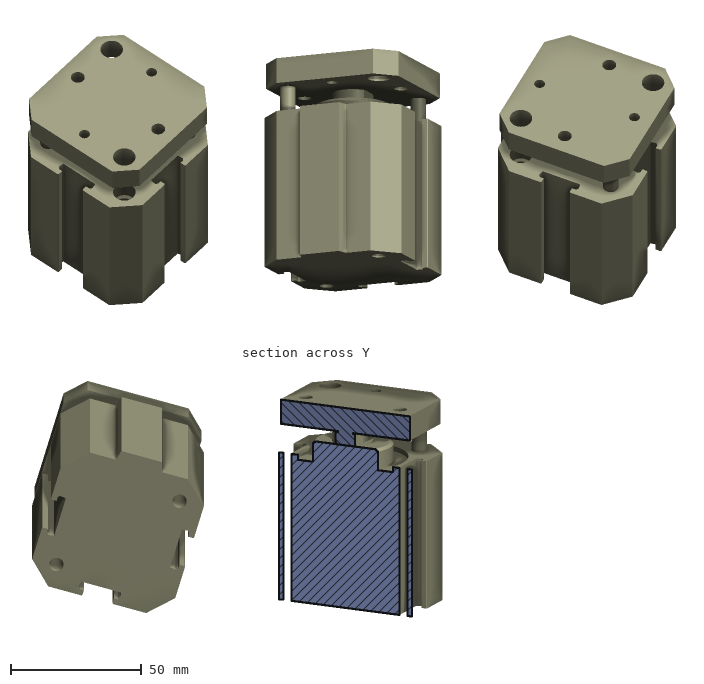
import cadquery as cq

total_height = 79.5
housing_height = 58.5
plate_thickness = 9.8
plate_bottom = total_height - plate_thickness

housing_width = 57.0
housing_half = housing_width / 2
housing_corner = 9.0

slot_mouth_half = 6.0
slot_edge_chamfer = 0.3
slot_lip = 2.3
slot_depth = 5.4
slot_inner_half = 8.35
slot_floor_half = 7.95
slot_inner_chamfer = 0.8

rail_height = 4.0
rail_top_half = 8.1
rail_foot_height = 0.8
rail_neck_half = 9.0
rail_foot_half = 9.4

recess_diameter = 42.5
recess_depth = 2.0
collar_diameter = 31.0
collar_height = 6.2
collar_chamfer = 1.0
collar_top = housing_height + collar_height

corner_offset = 19.0
mount_positions = [(-corner_offset, corner_offset), (corner_offset, -corner_offset)]
guide_positions = [(-corner_offset, -corner_offset), (corner_offset, corner_offset)]
mount_bore_diameter = 5.5
mount_counterbore_diameter = 8.6
mount_counterbore_depth = 7.0
guide_diameter = 6.0

rod_diameter = 16.0
rod_chamfer = 0.5
rod_flat_width = 13.0
rod_shoulder = 0.95

plate_width = 55.0
plate_corner = 7.4
plate_hole_offset = 20.0
plate_x_hole_diameter = 5.3
plate_y_hole_diameter = 4.1
plate_access_diameter = 8.6


def cylinder(diameter, bottom, top):
    return cq.Workplane("XY").workplane(offset=bottom).circle(diameter / 2).extrude(top - bottom)


def octagonal_block(width, corner, bottom, top):
    block = cq.Workplane("XY").workplane(offset=bottom).rect(width, width).extrude(top - bottom)
    return block.edges("|Z").chamfer(corner)


def make_slot_cutter():
    """T-slot prism on the -Y side, running the full height of the housing."""
    lip_inside = housing_half - slot_lip
    right_side = [
        (slot_mouth_half + slot_edge_chamfer, -housing_half),
        (slot_mouth_half, -housing_half + slot_edge_chamfer),
        (slot_mouth_half, -lip_inside),
        (slot_inner_half - slot_inner_chamfer, -lip_inside),
        (slot_inner_half, -lip_inside + slot_inner_chamfer),
        (slot_floor_half, -housing_half + slot_depth),
    ]
    left_side = [(-x, y) for x, y in reversed(right_side)]
    return cq.Workplane("XY").polyline(right_side + left_side).close().extrude(housing_height)


def make_rail():
    """Tapered rail on the +Y side with a flared foot."""
    right_side = [
        (rail_foot_half, housing_half),
        (rail_neck_half, housing_half + rail_foot_height),
        (rail_top_half, housing_half + rail_height),
    ]
    left_side = [(-x, y) for x, y in reversed(right_side)]
    return cq.Workplane("XY").polyline(right_side + left_side).close().extrude(housing_height)


def make_housing():
    body = octagonal_block(housing_width, housing_corner, 0, housing_height)
    body = body.union(make_rail())

    slot_cutter = make_slot_cutter()
    for angle in (-90, 0, 90):
        body = body.cut(slot_cutter.rotate((0, 0, 0), (0, 0, 1), angle))

    recess_floor = housing_height - recess_depth
    body = body.cut(cylinder(recess_diameter, recess_floor, housing_height))
    collar = cylinder(collar_diameter, recess_floor, collar_top)
    body = body.union(collar.faces(">Z").edges().chamfer(collar_chamfer))

    counterbore_floor = housing_height - mount_counterbore_depth
    for x, y in mount_positions:
        body = body.cut(cylinder(mount_bore_diameter, 0, housing_height).translate((x, y, 0)))
        counterbore = cylinder(mount_counterbore_diameter, counterbore_floor, housing_height)
        body = body.cut(counterbore.translate((x, y, 0)))
    return body


def make_rod():
    """Piston rod standing on the collar, with two wrench flats facing -X and +X."""
    rod = cylinder(rod_diameter, collar_top, plate_bottom)
    rod = rod.faces(">Z").edges().chamfer(rod_chamfer)
    flats_bottom = collar_top + rod_shoulder
    waste_width = rod_diameter - rod_flat_width
    waste_offset = (rod_flat_width + waste_width) / 2
    waste = cq.Workplane("XY").workplane(offset=flats_bottom).rect(waste_width, rod_diameter)
    waste = waste.extrude(plate_bottom - flats_bottom)
    for side in (-1, 1):
        rod = rod.cut(waste.translate((side * waste_offset, 0, 0)))
    return rod


def make_plate():
    plate = octagonal_block(plate_width, plate_corner, plate_bottom, total_height)
    holes = [(x, y, plate_access_diameter) for x, y in mount_positions]
    for side in (-1, 1):
        holes.append((side * plate_hole_offset, 0, plate_x_hole_diameter))
        holes.append((0, side * plate_hole_offset, plate_y_hole_diameter))
    for x, y, diameter in holes:
        plate = plate.cut(cylinder(diameter, plate_bottom, total_height).translate((x, y, 0)))
    return plate


def make_moving_unit():
    """Tool plate carried by the piston rod and two guide rods that stand on the housing."""
    unit = make_plate().union(make_rod())
    for x, y in guide_positions:
        unit = unit.union(cylinder(guide_diameter, housing_height, plate_bottom).translate((x, y, 0)))
    return unit


housing = make_housing()
moving_unit = make_moving_unit()

result = cq.Compound.makeCompound([housing.val(), moving_unit.val()])